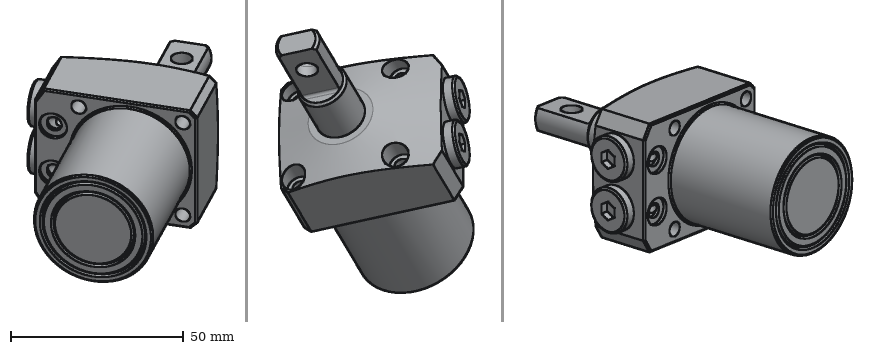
import cadquery as cq
import math


flange_half = 20.0
flange_left = 29.1
flange_depth = 25.0
small_corner = 2.1
left_corner_x = 2.8
left_corner_z = 4.4
edge_chamfer = 0.5
crown_flat_radius = 10.0
crown_angle = math.radians(15)
mount_pitch = 31.4
mount_hole_diameter = 4.5
mount_counterbore_diameter = 7.6
mount_seat_y = 16.3

barrel_diameter = 36.0
barrel_radius = barrel_diameter / 2
barrel_length = 39.5
barrel_bore_radius = 15.5
groove_chamfer = 0.6
cap_thickness = 5.1
cap_groove_mid_radius = 12.1
cap_groove_half_width = 0.6

port_x = -23.5
port_pitch = 16.0
port_z_positions = (-port_pitch / 2, port_pitch / 2)
port_recess_diameter = 8.4
port_recess_depth = 1.2
port_hole_diameter = 4.5
port_hole_depth = 2.4
drill_half_angle = math.radians(59)
passage_diameter = 2.8
passage_angle = 45
passage_offset = 0.7
passage_length = 6.1

plug_y = 11.0
plug_head_diameter = 14.0
plug_head_height = 3.5
plug_head_chamfer = 0.6
hex_across_flats = 5.0
hex_depth = 2.5

rod_radius = 7.5
rod_reach = 37.5
tongue_radius = 6.7
tongue_length = 21.0
tongue_thickness = 7.0
tongue_root_fillet = 0.9
rod_chamfer = 0.9
eye_diameter = 6.3
eye_to_tip = 9.0
rod_socket_depth = 10.2
rod_socket_y = flange_depth - rod_socket_depth
rod_tip_y = flange_depth + rod_reach


def spin_about_y(profile):
    """Solid of revolution about Y from (radius, y) points."""
    return cq.Workplane("XY").polyline(profile).close().revolve(360, (0, 0, 0), (0, 1, 0))


def bore_along_y(x, z, diameter, start_y, end_y):
    """Cylinder parallel to Y between two Y positions."""
    return (
        cq.Workplane("XZ", origin=(x, start_y, z))
        .circle(diameter / 2)
        .extrude(start_y - end_y)
    )


def make_flange():
    """Cornered block with chamfered front edges and a conical crown."""
    block = (
        cq.Workplane("XZ")
        .polyline([
            (-flange_left, flange_half - left_corner_z),
            (-flange_left + left_corner_x, flange_half),
            (flange_half - small_corner, flange_half),
            (flange_half, flange_half - small_corner),
            (flange_half, small_corner - flange_half),
            (flange_half - small_corner, -flange_half),
            (-flange_left + left_corner_x, -flange_half),
            (-flange_left, left_corner_z - flange_half),
        ])
        .close()
        .extrude(-flange_depth)
        .faces("<Y")
        .chamfer(edge_chamfer)
    )
    envelope_radius = math.hypot(flange_left, flange_half)
    crown_drop = (envelope_radius - crown_flat_radius) * math.tan(crown_angle)
    crown = spin_about_y([
        (0, 0),
        (envelope_radius, 0),
        (envelope_radius, flange_depth - crown_drop),
        (crown_flat_radius, flange_depth),
        (0, flange_depth),
    ])
    return block.intersect(crown)


def make_barrel():
    """Cylinder with a beveled root, a chamfered rim and a recess for the cap."""
    barrel = spin_about_y([
        (0, 0),
        (barrel_radius + edge_chamfer, 0),
        (barrel_radius, -edge_chamfer),
        (barrel_radius, edge_chamfer - barrel_length),
        (barrel_radius - edge_chamfer, -barrel_length),
        (0, -barrel_length),
    ])
    cap_recess = spin_about_y([
        (0, -barrel_length),
        (barrel_bore_radius + groove_chamfer, -barrel_length),
        (barrel_bore_radius, groove_chamfer - barrel_length),
        (barrel_bore_radius, cap_thickness - barrel_length),
        (0, cap_thickness - barrel_length),
    ])
    return barrel.cut(cap_recess)


def make_port(z):
    """Shallow seal recess, drilled hole with a conical bottom, and the slanted passage."""
    hole_radius = port_hole_diameter / 2
    point_depth = port_hole_depth + hole_radius / math.tan(drill_half_angle)
    drilling = spin_about_y([
        (0, 0),
        (port_recess_diameter / 2, 0),
        (port_recess_diameter / 2, port_recess_depth),
        (hole_radius, port_recess_depth),
        (hole_radius, port_hole_depth),
        (0, point_depth),
    ]).translate((port_x, 0, z))
    passage = (
        cq.Workplane("XZ")
        .circle(passage_diameter / 2)
        .extrude(-passage_length)
        .rotate((0, 0, 0), (0, 0, 1), -passage_angle)
        .translate((port_x + passage_offset, port_hole_depth, z))
    )
    return drilling.union(passage)


def make_housing():
    """Flange and barrel in one piece, with mounting holes, ports and the rod socket."""
    housing = make_flange().union(make_barrel())
    for x in (-mount_pitch / 2, mount_pitch / 2):
        for z in (-mount_pitch / 2, mount_pitch / 2):
            housing = housing.cut(bore_along_y(x, z, mount_hole_diameter, 0, flange_depth))
            housing = housing.cut(
                bore_along_y(x, z, mount_counterbore_diameter, mount_seat_y, flange_depth)
            )
    for z in port_z_positions:
        housing = housing.cut(make_port(z))
    return housing.cut(bore_along_y(0, 0, 2 * rod_radius, rod_socket_y, flange_depth))


def make_cap():
    """Disc flush with the barrel end, with a chamfered rim and a V groove in its face."""
    disc = spin_about_y([
        (0, -barrel_length),
        (barrel_bore_radius - groove_chamfer, -barrel_length),
        (barrel_bore_radius, groove_chamfer - barrel_length),
        (barrel_bore_radius, cap_thickness - barrel_length),
        (0, cap_thickness - barrel_length),
    ])
    groove = spin_about_y([
        (cap_groove_mid_radius - cap_groove_half_width, -barrel_length),
        (cap_groove_mid_radius + cap_groove_half_width, -barrel_length),
        (cap_groove_mid_radius, cap_groove_half_width - barrel_length),
    ])
    return disc.cut(groove)


def make_plug(z):
    """Screw plug along X: chamfered head with a hex socket, seated on the flange."""
    head_face_x = -flange_left - plug_head_height
    plug = (
        cq.Workplane("YZ", origin=(head_face_x, plug_y, z))
        .circle(plug_head_diameter / 2)
        .extrude(plug_head_height)
        .faces("<X")
        .chamfer(plug_head_chamfer)
    )
    socket = (
        cq.Workplane("YZ", origin=(head_face_x, plug_y, z))
        .transformed(rotate=(0, 0, 90))
        .polygon(6, hex_across_flats / math.cos(math.pi / 6))
        .extrude(hex_depth)
    )
    return plug.cut(socket)


def make_rod():
    """Round rod set into the crown, ending in a flat tongue with an eye."""
    shoulder_y = rod_tip_y - tongue_length
    rod = spin_about_y([
        (0, rod_socket_y),
        (rod_radius, rod_socket_y),
        (rod_radius, shoulder_y - rod_chamfer),
        (tongue_radius, shoulder_y),
        (tongue_radius, rod_tip_y - rod_chamfer),
        (tongue_radius - rod_chamfer, rod_tip_y),
        (0, rod_tip_y),
    ])
    for side in (-1, 1):
        flat_cutter = (
            cq.Workplane("XY")
            .box(2 * rod_radius, tongue_length, rod_radius, centered=(True, False, True))
            .translate((0, shoulder_y, side * (tongue_thickness + rod_radius) / 2))
            .edges("|X and <Y")
            .edges("<Z" if side > 0 else ">Z")
            .fillet(tongue_root_fillet)
        )
        rod = rod.cut(flat_cutter)
    eye = (
        cq.Workplane("XY", origin=(0, rod_tip_y - eye_to_tip, 0))
        .circle(eye_diameter / 2)
        .extrude(tongue_thickness / 2, both=True)
    )
    return rod.cut(eye)


housing = make_housing()
cap = make_cap()
rod = make_rod()
plugs = [make_plug(z) for z in port_z_positions]

result = cq.Compound.makeCompound([
    housing.val(),
    cap.val(),
    rod.val(),
    *[plug.val() for plug in plugs],
])